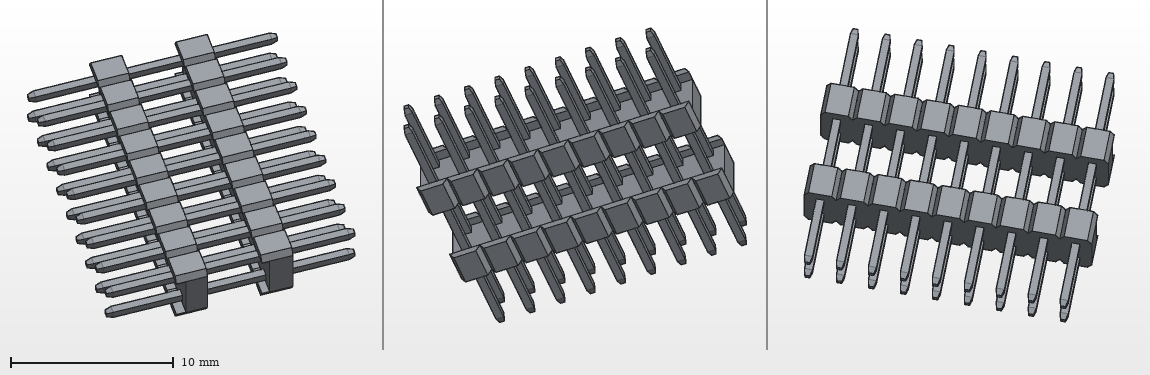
import cadquery as cq

columns = 9
length = 18.0
pitch = length / columns
row_count = 2
height = row_count * pitch

pin_length = 16.0
pin_width = 0.5
tip_width = 0.3
tip_length = 0.4

strip_depth = pitch
strip_spacing = 5.5
rear_strip_inset = 4.25
rear_web_depth = 1.51
front_web_depth = 1.39
flange_thickness = 0.5
tooth_bevel = 0.27
tooth_root_thickness = 0.04

rear_strip_back = pin_length / 2 - rear_strip_inset
front_strip_back = rear_strip_back - strip_spacing
web_height = height - 2 * flange_thickness


def box_from_back(back_y, depth, box_height):
    """Full-length box, centred in X and Z, reaching from back_y towards -Y."""
    return cq.Workplane("XY").box(length, depth, box_height).translate((0, back_y - depth / 2, 0))


def column_x(column):
    return (column - (columns - 1) / 2) * pitch


def flange(back_y, side):
    """Row of bevelled teeth on the top (side = 1) or bottom (side = -1) edge of a web."""
    underside_z = side * web_height / 2
    root_z = side * (web_height / 2 + tooth_root_thickness)
    crest_z = side * height / 2
    outline = [(-length / 2, underside_z), (-length / 2, root_z)]
    for column in range(columns):
        left = column_x(column) - pitch / 2
        right = left + pitch
        outline.append((left + tooth_bevel, crest_z))
        outline.append((right - tooth_bevel, crest_z))
        outline.append((right, root_z))
    outline.append((length / 2, underside_z))
    return cq.Workplane("XZ", origin=(0, back_y, 0)).polyline(outline).close().extrude(strip_depth)


def strip(back_y, web_depth):
    web = box_from_back(back_y, web_depth, web_height)
    return web.union(flange(back_y, 1)).union(flange(back_y, -1))


def make_pin():
    """Pin along Y, centred on the origin."""
    shank_length = pin_length - 2 * tip_length
    pin = cq.Workplane("XY").box(pin_width, shank_length, pin_width)
    for face in ("<Y", ">Y"):
        tip = (
            pin.faces(face)
            .workplane(centerOption="CenterOfMass")
            .rect(pin_width, pin_width)
            .workplane(offset=tip_length)
            .rect(tip_width, tip_width)
            .loft(combine=False)
        )
        pin = pin.union(tip)
    return pin


result = strip(rear_strip_back, rear_web_depth).union(strip(front_strip_back, front_web_depth))

pin = make_pin()
for column in range(columns):
    for row in range(row_count):
        row_z = (row - (row_count - 1) / 2) * pitch
        result = result.union(pin.translate((column_x(column), 0, row_z)))